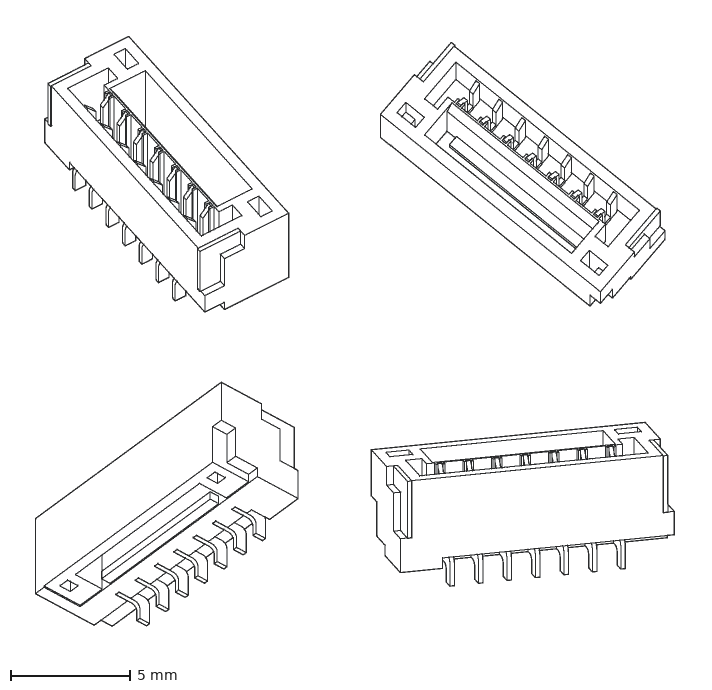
import cadquery as cq
import math


LENGTH = 12.0
HALF_LENGTH = LENGTH / 2
HOUSING_REACH = 4.25
HOUSING_DEPTH = 4.05
REAR_WALL = 0.5

WELL_HALF_LENGTH = 4.01
WELL_FRONT_REACH = 1.99
PARTITION_FRONT_REACH = 2.39
PARTITION_CREST = 0.08
LEAD_IN_DEPTH = 0.56
LEDGE_HALF_LENGTH = 3.5
LEDGE_REACH = 1.52

POCKET_HALF_LENGTH = 5.0
POCKET_SHOULDER_HALF_LENGTH = 4.3
POCKET_REAR_REACH = 1.7
POCKET_FRONT_REACH = 3.75
POCKET_DEPTH = 3.0

WINDOW_OUTER_X = 5.51
WINDOW_STEP_X = 5.0
WINDOW_INNER_X = 4.5
WINDOW_FRONT_REACH = 1.08
WINDOW_FLOOR_DEPTH = 1.68

FOOT_DEPTH = 3.58
FOOT_LENGTH = 1.85
NOTCH_REAR_REACH = 3.25
END_CUT_LENGTH = 0.56
END_CUT_REACH = 0.79
END_CUT_TOP_DEPTH = 2.05
REAR_BOTTOM_DEPTH = 3.97

PLATE_INSET = 0.3
PLATE_THICKNESS = 0.19
PLATE_REAR_REACH = 2.23
PLATE_WING_DEPTH = 0.83
PLATE_STEM_REACH = 3.25
PLATE_DEPTH = 2.53

CONTACT_COUNT = 7
PITCH = 1.25
CONTACT_THICKNESS = 0.2
OVERALL_REACH = 4.3
OVERALL_DEPTH = 4.85
TIP_DEPTH = 0.02
TIP_LAND = 0.07
REAR_ARM_FRONT_REACH = 2.89
TIP_SLOPE_DROP = 0.49
FORK_BASE_DEPTH = 2.64
FRONT_ARM_REACH = 3.68
LEG_REAR_REACH = 3.75
LEG_BEND_RADIUS = 0.29

RIB_WIDTH = 0.4
RIB_FRONT_REACH = 2.6
FLOOR_SLOT_WIDTH = 0.23

CONTACT_XS = [(i - (CONTACT_COUNT - 1) / 2) * PITCH for i in range(CONTACT_COUNT)]


def block(x_limits, reaches, depths):
    """Box between two X positions, two reaches and two depths."""
    x_min, x_max = x_limits
    rear, front = reaches
    top, bottom = depths
    return (
        cq.Workplane("XY")
        .box(x_max - x_min, front - rear, bottom - top, centered=False)
        .translate((x_min, -front, -bottom))
    )


def across(half_length):
    """X limits of a feature centred on the housing."""
    return (-half_length, half_length)


def side_profile(points, x_min, thickness):
    """Outline of (reach, depth) points, extruded along +X from x_min."""
    outline = [(-reach, -depth) for reach, depth in points]
    return cq.Workplane("YZ").polyline(outline).close().extrude(thickness).translate((x_min, 0, 0))


def plate_outline(front_reach):
    """L-shaped side outline of a plate, up to the given reach."""
    return [
        (PLATE_REAR_REACH, 0),
        (front_reach, 0),
        (front_reach, PLATE_DEPTH),
        (PLATE_STEM_REACH, PLATE_DEPTH),
        (PLATE_STEM_REACH, PLATE_WING_DEPTH),
        (PLATE_REAR_REACH, PLATE_WING_DEPTH),
    ]


def cut_well(body):
    """Open well right through the housing, with a lead-in slope and a ledge on its front wall."""
    well = block(across(WELL_HALF_LENGTH), (REAR_WALL, WELL_FRONT_REACH), (0, HOUSING_DEPTH))
    ledge = block(
        across(LEDGE_HALF_LENGTH), (LEDGE_REACH, WELL_FRONT_REACH), (FOOT_DEPTH, REAR_BOTTOM_DEPTH)
    )
    crest_rear_reach = PARTITION_FRONT_REACH - PARTITION_CREST
    slope_points = [(WELL_FRONT_REACH, 0), (crest_rear_reach, 0), (WELL_FRONT_REACH, LEAD_IN_DEPTH)]
    slope = side_profile(slope_points, -WELL_HALF_LENGTH, 2 * WELL_HALF_LENGTH)
    return body.cut(well.cut(ledge)).cut(slope)


def cut_pocket(body):
    """Pocket for the contacts, wider to the rear at both ends, with one grooved rib per contact."""
    pocket_depths = (0, POCKET_DEPTH)
    pocket = block(
        across(POCKET_HALF_LENGTH), (PARTITION_FRONT_REACH, POCKET_FRONT_REACH), pocket_depths
    )
    for side in (-1, 1):
        x_limits = sorted((side * POCKET_SHOULDER_HALF_LENGTH, side * POCKET_HALF_LENGTH))
        pocket = pocket.union(block(x_limits, (POCKET_REAR_REACH, POCKET_FRONT_REACH), pocket_depths))
    for x in CONTACT_XS:
        rib_reaches = (PARTITION_FRONT_REACH, RIB_FRONT_REACH)
        rib_half, groove_half = RIB_WIDTH / 2, CONTACT_THICKNESS / 2
        rib = block((x - rib_half, x + rib_half), rib_reaches, pocket_depths)
        groove = block((x - groove_half, x + groove_half), rib_reaches, pocket_depths)
        pocket = pocket.cut(rib).union(groove)
    return body.cut(pocket)


def cut_windows(body):
    """Stepped rectangular window in each rear corner; its inner half goes right through."""
    reaches = (REAR_WALL, WINDOW_FRONT_REACH)
    for side in (-1, 1):
        blind_limits = sorted((side * WINDOW_STEP_X, side * WINDOW_OUTER_X))
        through_limits = sorted((side * WINDOW_INNER_X, side * WINDOW_STEP_X))
        body = body.cut(block(blind_limits, reaches, (0, WINDOW_FLOOR_DEPTH)))
        body = body.cut(block(through_limits, reaches, (0, HOUSING_DEPTH)))
    return body


def cut_bottom(body):
    """Front notch for the legs, floor slots, raised rear bottom and stepped cut in the -X end."""
    notch = block(
        (FOOT_LENGTH - HALF_LENGTH, HALF_LENGTH),
        (NOTCH_REAR_REACH, HOUSING_REACH),
        (FOOT_DEPTH, HOUSING_DEPTH),
    )
    rear_relief = block(
        (-HALF_LENGTH, HALF_LENGTH - END_CUT_LENGTH),
        (0, WELL_FRONT_REACH),
        (REAR_BOTTOM_DEPTH, HOUSING_DEPTH),
    )
    end_limits = (-HALF_LENGTH, END_CUT_LENGTH - HALF_LENGTH)
    end_cut = block(end_limits, (0, END_CUT_REACH), (END_CUT_TOP_DEPTH, HOUSING_DEPTH))
    end_step = block(end_limits, (0, WELL_FRONT_REACH), (FOOT_DEPTH, HOUSING_DEPTH))
    body = body.cut(notch).cut(rear_relief).cut(end_cut).cut(end_step)
    for x in CONTACT_XS:
        slot_limits = (x - FLOOR_SLOT_WIDTH / 2, x + FLOOR_SLOT_WIDTH / 2)
        slot_reaches = (RIB_FRONT_REACH, NOTCH_REAR_REACH)
        body = body.cut(block(slot_limits, slot_reaches, (POCKET_DEPTH, HOUSING_DEPTH)))
    return body


def cut_plate_recesses(body):
    """Recess in each end, deep enough for the plate and the gap outside it."""
    recess_depth = PLATE_INSET + PLATE_THICKNESS
    for x_min in (-HALF_LENGTH, HALF_LENGTH - recess_depth):
        body = body.cut(side_profile(plate_outline(HOUSING_REACH), x_min, recess_depth))
    return body


def make_housing():
    body = block(across(HALF_LENGTH), (0, HOUSING_REACH), (0, HOUSING_DEPTH))
    for cut_feature in (cut_well, cut_pocket, cut_windows, cut_bottom, cut_plate_recesses):
        body = cut_feature(body)
    return body


def make_side_plate(x_min):
    """L-shaped plate whose front edge stands slightly proud of the housing."""
    return side_profile(plate_outline(OVERALL_REACH), x_min, PLATE_THICKNESS)


def make_contact(x):
    """Forked blade standing in the pocket, with a stem through the floor and a bent leg in front."""
    slope_bottom = TIP_DEPTH + TIP_SLOPE_DROP
    arc_offset = LEG_BEND_RADIUS * math.sqrt(0.5)
    outer_centre = (OVERALL_REACH - LEG_BEND_RADIUS, FOOT_DEPTH + LEG_BEND_RADIUS)
    inner_centre = (LEG_REAR_REACH - LEG_BEND_RADIUS, HOUSING_DEPTH + LEG_BEND_RADIUS)

    def at(reach, depth):
        return (-reach, -depth)

    def arc_middle(centre):
        return at(centre[0] + arc_offset, centre[1] - arc_offset)

    return (
        cq.Workplane("YZ")
        .moveTo(*at(PARTITION_FRONT_REACH, TIP_DEPTH))
        .lineTo(*at(PARTITION_FRONT_REACH + TIP_LAND, TIP_DEPTH))
        .lineTo(*at(REAR_ARM_FRONT_REACH, slope_bottom))
        .lineTo(*at(REAR_ARM_FRONT_REACH, FORK_BASE_DEPTH))
        .lineTo(*at(NOTCH_REAR_REACH, FORK_BASE_DEPTH))
        .lineTo(*at(NOTCH_REAR_REACH, slope_bottom))
        .lineTo(*at(FRONT_ARM_REACH, TIP_DEPTH))
        .lineTo(*at(FRONT_ARM_REACH, POCKET_DEPTH))
        .lineTo(*at(NOTCH_REAR_REACH, POCKET_DEPTH))
        .lineTo(*at(NOTCH_REAR_REACH, FOOT_DEPTH))
        .lineTo(*at(outer_centre[0], FOOT_DEPTH))
        .threePointArc(arc_middle(outer_centre), at(OVERALL_REACH, outer_centre[1]))
        .lineTo(*at(OVERALL_REACH, OVERALL_DEPTH))
        .lineTo(*at(LEG_REAR_REACH, OVERALL_DEPTH))
        .lineTo(*at(LEG_REAR_REACH, inner_centre[1]))
        .threePointArc(arc_middle(inner_centre), at(inner_centre[0], HOUSING_DEPTH))
        .lineTo(*at(RIB_FRONT_REACH, HOUSING_DEPTH))
        .lineTo(*at(RIB_FRONT_REACH, POCKET_DEPTH))
        .lineTo(*at(PARTITION_FRONT_REACH, POCKET_DEPTH))
        .close()
        .extrude(CONTACT_THICKNESS)
        .translate((x - CONTACT_THICKNESS / 2, 0, 0))
    )


housing = make_housing()
contacts = [make_contact(x) for x in CONTACT_XS]
plate_x_mins = (PLATE_INSET - HALF_LENGTH, HALF_LENGTH - PLATE_INSET - PLATE_THICKNESS)
side_plates = [make_side_plate(x_min) for x_min in plate_x_mins]

result = cq.Compound.makeCompound(
    [
        housing.val(),
        *[contact.val() for contact in contacts],
        *[plate.val() for plate in side_plates],
    ]
)